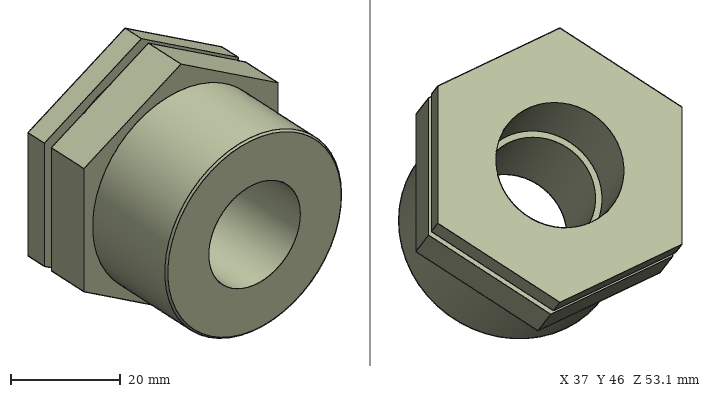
import cadquery as cq
import math

total_length = 37.0
across_flats = 46.0
across_corners = across_flats * 2 / math.sqrt(3)

front_hex_thickness = 4.7
groove_width = 2.0
rear_hex_thickness = 9.3
rear_hex_start = front_hex_thickness + groove_width
rear_hex_end = rear_hex_start + rear_hex_thickness

sleeve_diameter = 41.91
sleeve_chamfer = 0.4

entry_bore_diameter = 24.12
entry_bore_depth = rear_hex_end
through_bore_diameter = 21.7


def cylinder(diameter, length):
    """Cylinder along X, starting at the entry face."""
    return cq.Workplane("YZ").circle(diameter / 2).extrude(length)


def hexagon(start, thickness):
    """Hexagonal plate along X with corners pointing up and down in Z."""
    return (
        cq.Workplane("YZ", origin=(start, 0, 0))
        .transformed(rotate=(0, 0, 90))
        .polygon(6, across_corners)
        .extrude(thickness)
    )


sleeve = cylinder(sleeve_diameter, total_length).faces(">X").chamfer(sleeve_chamfer)

front_hex = hexagon(0, front_hex_thickness)
rear_hex = hexagon(rear_hex_start, rear_hex_thickness)
body = sleeve.union(front_hex).union(rear_hex)

through_bore = cylinder(through_bore_diameter, total_length)
entry_bore = cylinder(entry_bore_diameter, entry_bore_depth)
result = body.cut(through_bore).cut(entry_bore)